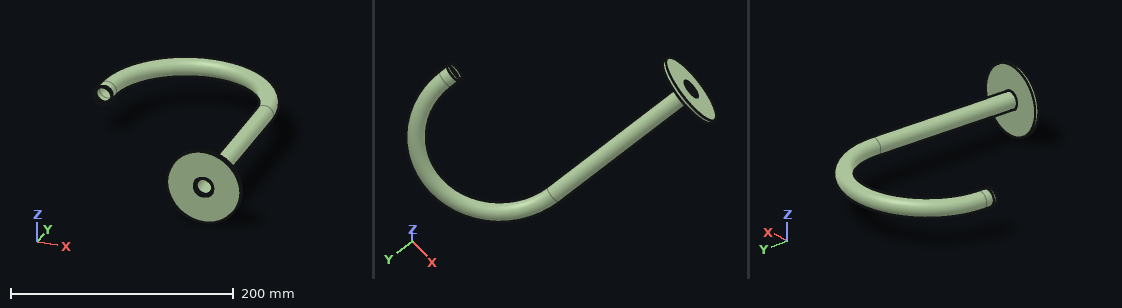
import cadquery as cq

overall_length = 246.0
tube_diameter = 18.0
wall_thickness = 1.5
end_wall_thickness = 0.62
outlet_counterbore_depth = 3.2
foot_counterbore_depth = 1.5
bend_radius = 75.0
outlet_length = 12.0
flange_diameter = 70.0
flange_hole_diameter = 18.5
flange_thickness = 4.0

tube_radius = tube_diameter / 2
bore_radius = tube_radius - wall_thickness
counterbore_radius = tube_radius - end_wall_thickness
riser_length = overall_length - bend_radius - tube_radius
outlet_x = -2 * bend_radius
outlet_y = riser_length - outlet_length


def make_counterbore(x, y, depth):
    """Cutter that widens the bore from a tube end at (x, y) toward +Y, ending in a 45 degree cone."""
    cone_length = counterbore_radius - bore_radius
    return (
        cq.Workplane("XZ", origin=(x, y, 0))
        .circle(counterbore_radius)
        .extrude(-(depth + cone_length))
        .faces(">Y")
        .chamfer(cone_length)
    )


def make_spout():
    """Hollow gooseneck: straight riser along +Y, half-circle bend, short outlet."""
    path = (
        cq.Workplane("XY")
        .lineTo(0, riser_length)
        .threePointArc(
            (-bend_radius, riser_length + bend_radius),
            (outlet_x, riser_length),
        )
        .lineTo(outlet_x, outlet_y)
    )
    tube = (
        cq.Workplane("XZ")
        .circle(tube_radius)
        .circle(bore_radius)
        .sweep(path)
    )
    foot_counterbore = make_counterbore(0, 0, foot_counterbore_depth)
    outlet_counterbore = make_counterbore(outlet_x, outlet_y, outlet_counterbore_depth)
    return tube.cut(foot_counterbore).cut(outlet_counterbore)


def make_flange():
    """Flat round wall flange, with a small clearance around the foot of the riser."""
    return (
        cq.Workplane("XZ")
        .circle(flange_diameter / 2)
        .circle(flange_hole_diameter / 2)
        .extrude(-flange_thickness)
    )


spout = make_spout()
flange = make_flange()

result = cq.Compound.makeCompound([spout.val(), flange.val()])